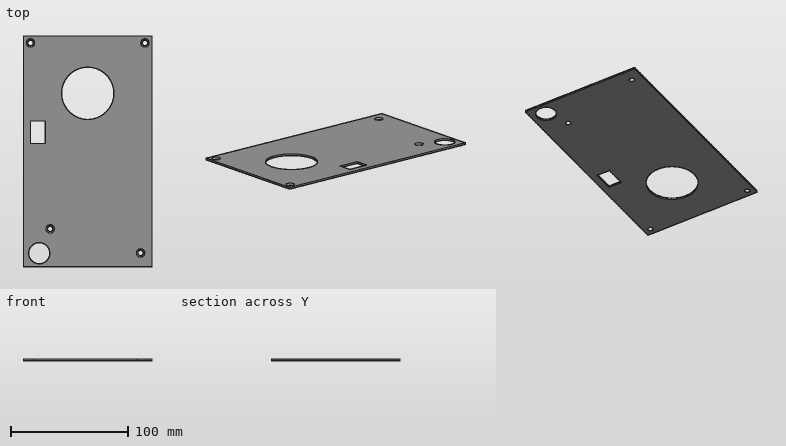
import cadquery as cq

PLATE_WIDTH = 109.73
PLATE_LENGTH = 196.6
PLATE_THICKNESS = 1.65
HALF_WIDTH = PLATE_WIDTH / 2
HALF_LENGTH = PLATE_LENGTH / 2

SCREW_HOLE_DIAMETER = 4.4
COUNTERSINK_DIAMETER = 7.2
COUNTERSINK_ANGLE = 90
TOP_SCREW_SIDE_INSET = 6.15
TOP_SCREW_END_INSET = 6.0
TOP_SCREW_X = HALF_WIDTH - TOP_SCREW_SIDE_INSET
TOP_SCREW_Y = HALF_LENGTH - TOP_SCREW_END_INSET
LOWER_LEFT_SCREW = (-32.0, -66.0)
LOWER_RIGHT_SCREW = (45.0, -86.5)
SCREW_POSITIONS = [
    (-TOP_SCREW_X, TOP_SCREW_Y),
    (TOP_SCREW_X, TOP_SCREW_Y),
    LOWER_LEFT_SCREW,
    LOWER_RIGHT_SCREW,
]

LARGE_OPENING_DIAMETER = 44.3
LARGE_OPENING_CENTER = (0, 49.4)
SMALL_OPENING_DIAMETER = 17.8
SMALL_OPENING_CENTER = (-41.3, -86.7)

WINDOW_WIDTH = 12.4
WINDOW_LENGTH = 19.0
WINDOW_CENTER = (-42.4, 16.3)


def make_plate():
    return cq.Workplane("XY").box(
        PLATE_WIDTH, PLATE_LENGTH, PLATE_THICKNESS, centered=(True, True, False)
    )


def on_top_face(plate):
    """Workplane on the top face, with its origin above the plate centre."""
    return plate.faces(">Z").workplane(origin=(0, 0, PLATE_THICKNESS))


def cut_screw_holes(plate):
    return on_top_face(plate).pushPoints(SCREW_POSITIONS).cskHole(
        SCREW_HOLE_DIAMETER, COUNTERSINK_DIAMETER, COUNTERSINK_ANGLE
    )


def cut_round_opening(plate, center, diameter):
    return on_top_face(plate).pushPoints([center]).hole(diameter)


def cut_window(plate):
    return on_top_face(plate).center(*WINDOW_CENTER).rect(WINDOW_WIDTH, WINDOW_LENGTH).cutThruAll()


plate = make_plate()
plate = cut_screw_holes(plate)
plate = cut_round_opening(plate, LARGE_OPENING_CENTER, LARGE_OPENING_DIAMETER)
plate = cut_round_opening(plate, SMALL_OPENING_CENTER, SMALL_OPENING_DIAMETER)
result = cut_window(plate)